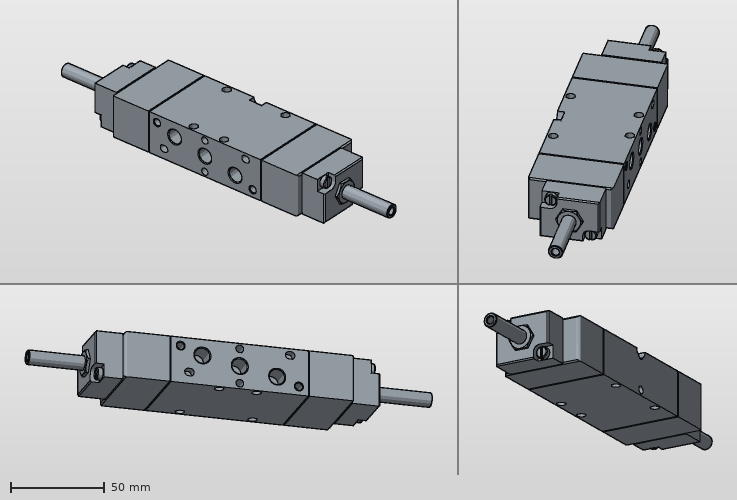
import cadquery as cq
import math

TOTAL_LENGTH = 226.6
BODY_WIDTH = 47.0
BODY_HEIGHT = 26.0
HALF_WIDTH = BODY_WIDTH / 2
HALF_HEIGHT = BODY_HEIGHT / 2

CAP_FACE_X = 64.5
BLOCK_FACE_X = 80.0
NUT_FACE_X = 81.8
ROD_TIP_X = TOTAL_LENGTH / 2

JOINT_X = 38.9
JOINT_WIDTH = 0.7
JOINT_DEPTH = 0.2

CAP_FILLET = 2.0
CAP_CHAMFER = 0.85
BLOCK_CHAMFER = 0.75
PILOT_Y = -3.2
BLOCK_WIDTH = 33.0

ROD_DIAMETER = 8.0
ROD_CHAMFER = 0.4
ROD_BORE_DIAMETER = 4.13
ROD_BORE_MOUTH_DIAMETER = 5.0
ROD_BORE_DEPTH = 8.0
NUT_ACROSS_FLATS = 13.0
NUT_FACE_DIAMETER = 12.8
NUT_BEVEL_ANGLE = 30.0

SCREW_OFFSET_Y = 11.0
SCREW_OFFSET_Z = 9.45
POCKET_RADIUS = 3.85
POCKET_DEPTH = 5.0
HEAD_DIAMETER = 6.8
HEAD_HEIGHT = 3.1
HEAD_CHAMFER = 0.5
DRIVER_SLOT_WIDTH = 1.2
DRIVER_SLOT_DEPTH = 1.2

PORT_DIAMETER = 8.57
PORT_MOUTH_DIAMETER = 9.6
PORT_DEPTH = 12.0
PORT_POINTS = [(-21.0, 3.8), (0, 0), (21.0, -3.8)]
CROSS_HOLE_DIAMETER = 4.3
CROSS_HOLE_Z = 9.85
PILOT_HOLE_DIAMETER = 4.13
PILOT_HOLE_MOUTH_DIAMETER = 5.0
PILOT_HOLE_DEPTH = 8.0
PILOT_HOLE_POINTS = [(-33.2, 8.1), (33.2, -8.1)]
KEY_SLOT_LENGTH = 5.2
KEY_SLOT_HEIGHT = 4.3
KEY_SLOT_DEPTH = 5.0
KEY_SLOT_POINTS = [(-28.3, -6.5), (28.3, 9.2)]

MOUNT_DIAMETER = 5.0
MOUNT_Y = 20.0
REAR_MOUNT_X = 20.4
FRONT_MOUNT_X = 10.5

RECESS_DIAMETER = 8.57
RECESS_DEPTH = 4.0

DRILL_POINT_ANGLE = 118.0


def threaded_hole(diameter, mouth_diameter, depth, tip_length=0.0):
    """Blind hole along +Z from the origin, with a 45 degree countersink and an optional cone tip."""
    radius = diameter / 2
    mouth_radius = mouth_diameter / 2
    countersink_depth = mouth_radius - radius
    profile = cq.Workplane("XZ").lineTo(mouth_radius, 0).lineTo(radius, countersink_depth)
    profile = profile.lineTo(radius, depth).lineTo(0, depth + tip_length)
    return profile.close().revolve(360, (0, 0), (0, 1))


def drill_tip_length(diameter):
    """Length of the cone left by a drill point."""
    return diameter / 2 / math.tan(math.radians(DRILL_POINT_ANGLE / 2))


def front_plane():
    """Workplane on the -Y face with local axes X and Z, facing outward."""
    return cq.Workplane("XZ", origin=(0, -HALF_WIDTH, 0))


def end_plane(x):
    """Workplane across the valve at station x, with local axes Y and Z."""
    return cq.Workplane("YZ", origin=(x, 0, 0))


def make_body():
    """Centre body and both end caps, with the joints between them."""
    body = cq.Workplane("XY").box(2 * CAP_FACE_X, BODY_WIDTH, BODY_HEIGHT)
    body = body.faces("<X or >X").edges("|Y").chamfer(CAP_CHAMFER)
    body = body.edges("|Z").fillet(CAP_FILLET)
    for side in (-1, 1):
        joint = cq.Workplane("XY").box(JOINT_WIDTH, BODY_WIDTH, BODY_HEIGHT)
        core = cq.Workplane("XY").box(
            JOINT_WIDTH, BODY_WIDTH - 2 * JOINT_DEPTH, BODY_HEIGHT - 2 * JOINT_DEPTH
        )
        body = body.cut(joint.cut(core).translate((side * JOINT_X, 0, 0)))
    return body


def cut_front_holes(body):
    """Ports, cross holes, pilot holes and key slots of the -Y face."""
    cross_points = [(0, CROSS_HOLE_Z), (0, -CROSS_HOLE_Z)]
    cross_holes = (
        front_plane().pushPoints(cross_points).circle(CROSS_HOLE_DIAMETER / 2).extrude(-BODY_WIDTH)
    )
    key_slots = (
        front_plane()
        .pushPoints(KEY_SLOT_POINTS)
        .slot2D(KEY_SLOT_LENGTH, KEY_SLOT_HEIGHT)
        .extrude(-KEY_SLOT_DEPTH)
    )
    body = body.cut(cross_holes).cut(key_slots)
    port = threaded_hole(PORT_DIAMETER, PORT_MOUTH_DIAMETER, PORT_DEPTH)
    pilot_hole = threaded_hole(
        PILOT_HOLE_DIAMETER,
        PILOT_HOLE_MOUTH_DIAMETER,
        PILOT_HOLE_DEPTH,
        drill_tip_length(PILOT_HOLE_DIAMETER),
    )
    for hole, points in ((port, PORT_POINTS), (pilot_hole, PILOT_HOLE_POINTS)):
        inward_hole = hole.rotate((0, 0, 0), (1, 0, 0), -90)
        for x, z in points:
            body = body.cut(inward_hole.translate((x, -HALF_WIDTH, z)))
    return body


def cut_mounting_holes(body):
    """Four holes running through the body along Z."""
    points = []
    for side in (-1, 1):
        points.append((side * REAR_MOUNT_X, MOUNT_Y))
        points.append((side * FRONT_MOUNT_X, -MOUNT_Y))
    holes = (
        cq.Workplane("XY", origin=(0, 0, -HALF_HEIGHT))
        .pushPoints(points)
        .circle(MOUNT_DIAMETER / 2)
        .extrude(BODY_HEIGHT)
    )
    return body.cut(holes)


def cut_rear_recess(body):
    """Half-round recess along Y, open to the top and +Y faces."""
    recess = (
        cq.Workplane("XZ", origin=(0, HALF_WIDTH, HALF_HEIGHT))
        .circle(RECESS_DIAMETER / 2)
        .extrude(RECESS_DEPTH)
    )
    return body.cut(recess)


def make_pilot_block():
    """Block standing on the -X cap face, with chamfered outer edges."""
    length = BLOCK_FACE_X - CAP_FACE_X
    block = end_plane(-BLOCK_FACE_X).center(PILOT_Y, 0).rect(BLOCK_WIDTH, BODY_HEIGHT).extrude(length)
    return block.faces("<X").chamfer(BLOCK_CHAMFER)


def make_screw_pocket():
    """Pocket of the (+Y, +Z) screw, open to both sides of its corner and to the end face."""
    y = PILOT_Y + SCREW_OFFSET_Y
    z = SCREW_OFFSET_Z
    y_out = PILOT_Y + BLOCK_WIDTH / 2
    r = POCKET_RADIUS
    arc_offset = r * math.sqrt(0.5)
    return (
        end_plane(-BLOCK_FACE_X)
        .moveTo(y_out, HALF_HEIGHT)
        .lineTo(y_out, z - r)
        .lineTo(y, z - r)
        .threePointArc((y - arc_offset, z - arc_offset), (y - r, z))
        .lineTo(y - r, HALF_HEIGHT)
        .close()
        .extrude(POCKET_DEPTH)
    )


def make_screw_head():
    """Slotted head of the (+Y, +Z) screw, standing on its pocket floor."""
    floor_x = -BLOCK_FACE_X + POCKET_DEPTH
    y = PILOT_Y + SCREW_OFFSET_Y
    head = end_plane(floor_x).center(y, SCREW_OFFSET_Z).circle(HEAD_DIAMETER / 2).extrude(-HEAD_HEIGHT)
    head = head.faces("<X").chamfer(HEAD_CHAMFER)
    slot = (
        end_plane(floor_x - HEAD_HEIGHT)
        .center(y, SCREW_OFFSET_Z)
        .rect(DRIVER_SLOT_WIDTH, HEAD_DIAMETER)
        .extrude(DRIVER_SLOT_DEPTH)
    )
    return head.cut(slot)


def make_rod_and_nut():
    """Hexagon nut with bevelled corners and bored rod, both on the pilot axis."""
    nut_diameter = NUT_ACROSS_FLATS / math.cos(math.pi / 6)
    nut_height = NUT_FACE_X - BLOCK_FACE_X
    nut_plane = end_plane(-NUT_FACE_X).center(PILOT_Y, 0)
    hexagon = nut_plane.polygon(6, nut_diameter).extrude(nut_height)
    bevel_cone = nut_plane.circle(NUT_FACE_DIAMETER / 2).extrude(nut_height, taper=NUT_BEVEL_ANGLE - 90)
    nut = hexagon.intersect(bevel_cone)
    rod = (
        end_plane(-ROD_TIP_X)
        .center(PILOT_Y, 0)
        .circle(ROD_DIAMETER / 2)
        .extrude(ROD_TIP_X - BLOCK_FACE_X)
        .faces("<X")
        .chamfer(ROD_CHAMFER)
    )
    bore = threaded_hole(
        ROD_BORE_DIAMETER,
        ROD_BORE_MOUTH_DIAMETER,
        ROD_BORE_DEPTH,
        drill_tip_length(ROD_BORE_DIAMETER),
    )
    bore = bore.rotate((0, 0, 0), (0, 1, 0), 90).translate((-ROD_TIP_X, PILOT_Y, 0))
    return nut.union(rod).cut(bore)


def make_pilot_end():
    """Complete -X end: block, two screws diagonally opposite, nut and rod."""
    end = make_pilot_block()
    for angle in (0, 180):
        axis = ((0, PILOT_Y, 0), (1, PILOT_Y, 0))
        end = end.cut(make_screw_pocket().rotate(*axis, angle))
        end = end.union(make_screw_head().rotate(*axis, angle))
    return end.union(make_rod_and_nut())


left_end = make_pilot_end()
right_end = left_end.rotate((0, 0, 0), (0, 1, 0), 180)

body = make_body()
body = cut_front_holes(body)
body = cut_mounting_holes(body)
body = cut_rear_recess(body)

result = body.union(left_end).union(right_end)